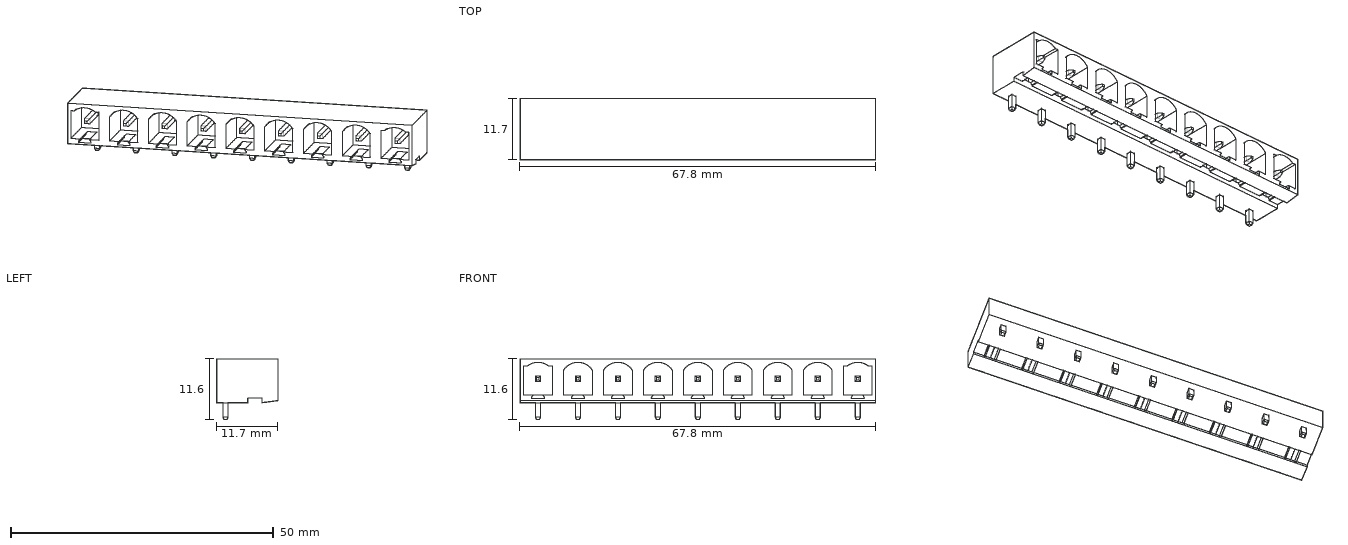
import cadquery as cq
import math

LENGTH = 67.75
DEPTH = 11.7
HEIGHT = 8.4

CONTACT_COUNT = 9
ROW_SPAN = 61.0
PITCH = ROW_SPAN / (CONTACT_COUNT - 1)
CONTACT_X = [index * PITCH - ROW_SPAN / 2 for index in range(CONTACT_COUNT)]
END_CONTACT_X = [CONTACT_X[0], CONTACT_X[-1]]

PIN_SIZE = 1.0
PIN_ARM_Z = 4.6
PIN_LEG_Y = 10.0
PIN_LEG_LENGTH = 3.2
PIN_TIP_Y = 0.9
ARM_TIP_LENGTH = 1.0
ARM_TIP_INSET = 0.3
LEG_TIP_LENGTH = 0.5
LEG_TIP_INSET = 0.2

SOCKET_WIDTH = 5.5
SOCKET_DEPTH = 8.4
SOCKET_FLOOR_Z = 1.5
ARCH_RADIUS = 3.25
ARCH_TOP_Z = HEIGHT - 0.7
ARCH_CENTER_Z = ARCH_TOP_Z - ARCH_RADIUS
ARCH_SPRING_Z = ARCH_CENTER_Z + math.sqrt(ARCH_RADIUS**2 - (SOCKET_WIDTH / 2) ** 2)
END_SHOULDER_Z = HEIGHT - 1.4

GROOVE_TOP_WIDTH = 1.8
GROOVE_BOTTOM_WIDTH = 2.45
GROOVE_DEPTH = 0.7
GROOVE_FLARE_DEPTH = 0.4
GROOVE_BOTTOM_Z = SOCKET_FLOOR_Z - GROOVE_DEPTH
GROOVE_FLARE_Z = SOCKET_FLOOR_Z - GROOVE_FLARE_DEPTH

CHANNEL_FRONT_Y = 3.1
CHANNEL_WIDTH = 2.65
CHANNEL_BACK_Y = CHANNEL_FRONT_Y + CHANNEL_WIDTH
CHANNEL_HEIGHT = 0.9
LIP_RISE = 0.4


def make_housing_block():
    """Plain bar with the sloped lip and the cross channel on its underside."""
    side_outline = [
        (0, LIP_RISE),
        (CHANNEL_FRONT_Y, 0),
        (CHANNEL_FRONT_Y, CHANNEL_HEIGHT),
        (CHANNEL_BACK_Y, CHANNEL_HEIGHT),
        (CHANNEL_BACK_Y, 0),
        (DEPTH, 0),
        (DEPTH, HEIGHT),
        (0, HEIGHT),
    ]
    return cq.Workplane("YZ").polyline(side_outline).close().extrude(LENGTH / 2, both=True)


def make_socket(x):
    """Arched cavity that opens on the front face."""
    half_width = SOCKET_WIDTH / 2
    return (
        cq.Workplane("XZ")
        .moveTo(x - half_width, SOCKET_FLOOR_Z)
        .lineTo(x + half_width, SOCKET_FLOOR_Z)
        .lineTo(x + half_width, ARCH_SPRING_Z)
        .threePointArc((x, ARCH_TOP_Z), (x - half_width, ARCH_SPRING_Z))
        .close()
        .extrude(-SOCKET_DEPTH)
    )


def make_end_shoulder(x):
    """Block that squares off the upper corners of an end socket."""
    return cq.Workplane("XY").box(
        SOCKET_WIDTH, SOCKET_DEPTH, END_SHOULDER_Z - SOCKET_FLOOR_Z, centered=(True, False, False)
    ).translate((x, 0, SOCKET_FLOOR_Z))


def make_groove(x):
    """Dovetail groove below a socket floor, ending at the back of the cross channel."""
    outline = [
        (x - GROOVE_TOP_WIDTH / 2, SOCKET_FLOOR_Z),
        (x + GROOVE_TOP_WIDTH / 2, SOCKET_FLOOR_Z),
        (x + GROOVE_BOTTOM_WIDTH / 2, GROOVE_FLARE_Z),
        (x + GROOVE_BOTTOM_WIDTH / 2, GROOVE_BOTTOM_Z),
        (x - GROOVE_BOTTOM_WIDTH / 2, GROOVE_BOTTOM_Z),
        (x - GROOVE_BOTTOM_WIDTH / 2, GROOVE_FLARE_Z),
    ]
    return cq.Workplane("XZ").polyline(outline).close().extrude(-CHANNEL_BACK_Y)


def make_bar(length, tip_length, tip_inset):
    """Square bar along +Z from the origin, tapered over its last stretch."""
    taper_angle = math.degrees(math.atan2(tip_inset, tip_length))
    shank_length = length - tip_length
    shank = cq.Workplane("XY").rect(PIN_SIZE, PIN_SIZE).extrude(shank_length)
    tip = (
        cq.Workplane("XY")
        .workplane(offset=shank_length)
        .rect(PIN_SIZE, PIN_SIZE)
        .extrude(tip_length, taper=taper_angle)
    )
    return shank.union(tip)


def make_pin(x):
    """Bent square pin: an arm toward -Y and a leg toward -Z, each with a tapered tip."""
    half = PIN_SIZE / 2
    bend_y = PIN_LEG_Y + half
    bend_z = PIN_ARM_Z + half
    arm = (
        make_bar(bend_y - PIN_TIP_Y, ARM_TIP_LENGTH, ARM_TIP_INSET)
        .rotate((0, 0, 0), (1, 0, 0), 90)
        .translate((x, bend_y, PIN_ARM_Z))
    )
    leg = (
        make_bar(bend_z + PIN_LEG_LENGTH, LEG_TIP_LENGTH, LEG_TIP_INSET)
        .rotate((0, 0, 0), (1, 0, 0), 180)
        .translate((x, PIN_LEG_Y, bend_z))
    )
    return arm.union(leg)


pins = [make_pin(x) for x in CONTACT_X]

housing = make_housing_block()
for x in CONTACT_X:
    housing = housing.cut(make_socket(x)).cut(make_groove(x))
for x in END_CONTACT_X:
    housing = housing.cut(make_end_shoulder(x))
for pin in pins:
    housing = housing.cut(pin)

result = cq.Compound.makeCompound([housing.val(), *[pin.val() for pin in pins]])